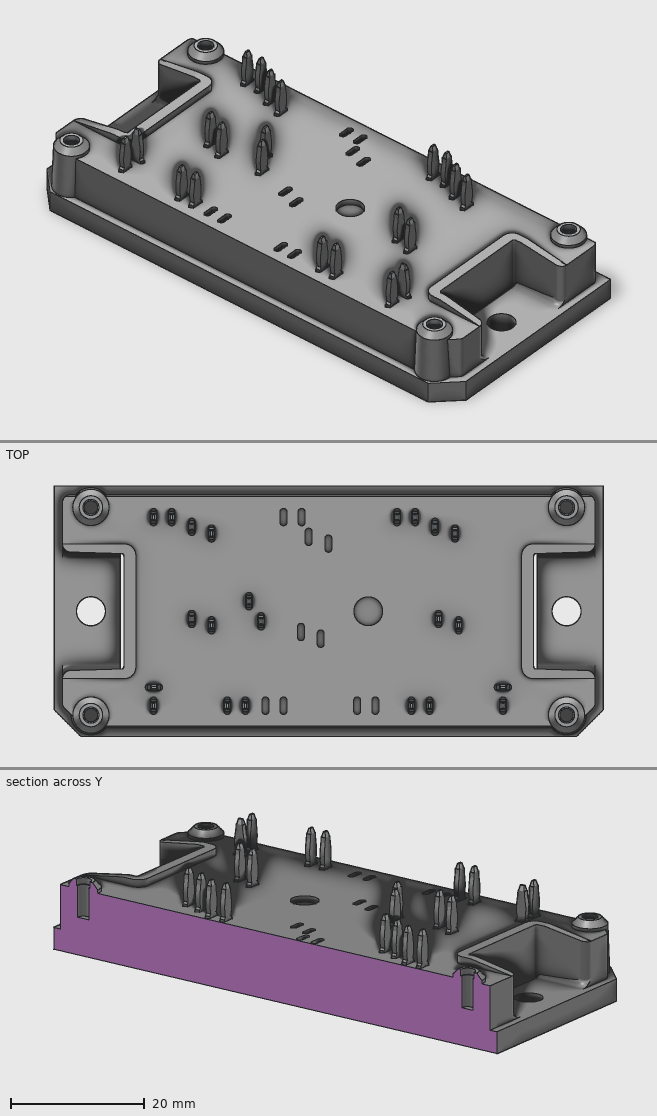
import cadquery as cq
import math

COS_45 = math.cos(math.radians(45))

LENGTH = 82.0
WIDTH = 37.4
BASE_TOP = 3.5
BASE_CHAMFER = 4.0
MOUNT_HOLE_DIAMETER = 4.3
MOUNT_HOLE_X = 35.5

BODY_HALF_LENGTH = 39.75
BODY_TOP = 10.5
BODY_HALF_WIDTH_BOTTOM = 17.4
BODY_HALF_WIDTH_TOP = 17.1
BODY_CHAMFER = 3.25
BODY_CORNER_RADIUS = 1.2
CHAMFER_BLEND_RADIUS = 1.0
CENTER_RECESS_X = 5.9
CENTER_RECESS_DIAMETER = 4.3
CENTER_RECESS_DEPTH = 1.0

POCKET_BACK_X = 30.6
POCKET_HALF_WIDTH = 8.85
POCKET_BACK_HALF_WIDTH = 8.6
POCKET_CORNER_RADIUS = 0.4
RIM_TOP = 11.7
RIM_SIDE_THICKNESS = 1.2
RIM_BACK_THICKNESS = 1.8
RIM_CORNER_RADIUS = 1.7
RIM_SLOPE_START_X = 32.1
RIM_SLOPE_BLEND_RADIUS = 4.0
FOOT_FILLET_RADIUS = 1.1
SLIT_WIDTH = 0.5

BOSS_X = 35.5
BOSS_Y = 15.5
BOSS_BOTTOM_RADIUS = 2.97
BOSS_SHOULDER_RADIUS = 2.7
BOSS_TOP_RADIUS = 1.75
BOSS_SHOULDER_Z = 11.0
BOSS_TOP = 12.0
BOSS_HOLE_DIAMETER = 2.4
BOSS_HOLE_DEPTH = 1.0
BOSS_PILOT_DIAMETER = 2.0
BOSS_PILOT_DEPTH = 6.0

SLOT_LENGTH = 2.6
SLOT_WIDTH = 1.05
SLOT_DEPTH = 1.0
PIN_TOP = 16.23
PIN_THICKNESS = 0.8
PIN_COLLAR_WIDTH = 1.9
PIN_COLLAR_TOP = 10.75
PIN_NECK_WIDTH = 1.4
PIN_NECK_Z = 11.1
PIN_BULGE_WIDTH = 1.75
PIN_BULGE_Z = 12.6
PIN_STEM_BOTTOM_WIDTH = 1.45
PIN_STEM_BOTTOM_Z = 14.1
PIN_STEM_TOP_WIDTH = 1.3
PIN_STEM_TOP_Z = 14.6
PIN_SHOULDER_WIDTH = 1.2
PIN_SHOULDER_Z = 15.4
PIN_TIP_BASE_WIDTH = 1.0
PIN_TIP_WIDTH = 0.7
PIN_TIP_THICKNESS = 0.3

BACK_ROW_Y = 14.05
FRONT_ROW_Y = -14.1
CROSS_PIN_Y = -11.35
PINS_ALONG_Y = [
    (-26.15, BACK_ROW_Y), (-23.45, BACK_ROW_Y), (-20.45, 12.6), (-17.5, 11.6),
    (10.2, BACK_ROW_Y), (12.9, BACK_ROW_Y), (15.85, 12.6), (18.85, 11.6),
    (-20.45, -1.15), (-17.5, -2.1), (-11.9, 1.5), (-10.1, -1.5), (16.4, -1.15), (19.4, -2.1),
    (-26.15, FRONT_ROW_Y), (-15.15, FRONT_ROW_Y), (-12.45, FRONT_ROW_Y),
    (12.35, FRONT_ROW_Y), (15.05, FRONT_ROW_Y), (26.0, FRONT_ROW_Y),
]
PINS_ALONG_X = [(-26.1, CROSS_PIN_Y), (26.0, CROSS_PIN_Y)]
EMPTY_SLOTS = [
    (-6.75, BACK_ROW_Y), (-4.05, BACK_ROW_Y), (-3.0, 11.1), (-0.05, 10.1),
    (-4.15, -3.1), (-1.2, -4.1),
    (-9.45, FRONT_ROW_Y), (-6.75, FRONT_ROW_Y), (4.25, FRONT_ROW_Y), (6.95, FRONT_ROW_Y),
]


def both_ends(shape):
    """The -X end shape joined with its mirror image at the +X end."""
    return shape.union(shape.mirror("YZ"))


def make_baseplate():
    plate = cq.Workplane("XY").box(LENGTH, WIDTH, BASE_TOP, centered=(True, True, False))
    plate = plate.edges("|Z and <Y").chamfer(BASE_CHAMFER)
    mount_points = [(-MOUNT_HOLE_X, 0), (MOUNT_HOLE_X, 0)]
    return plate.faces(">Z").workplane(origin=(0, 0, 0)).pushPoints(mount_points).hole(MOUNT_HOLE_DIAMETER)


def make_body():
    """Housing block: sloped long sides, rounded back corners and bevelled front corners."""
    height = BODY_TOP - BASE_TOP
    plan = (
        cq.Workplane("XY", origin=(0, 0, BASE_TOP))
        .rect(2 * BODY_HALF_LENGTH, 2 * BODY_HALF_WIDTH_BOTTOM)
        .extrude(height)
        .edges("|Z and >Y").fillet(BODY_CORNER_RADIUS)
        .edges("|Z and <Y").chamfer(BODY_CHAMFER)
    )
    for end in ("<X", ">X"):
        plan = plan.faces(end).edges("|Z and <Y").fillet(CHAMFER_BLEND_RADIUS)
    cross_section = (
        cq.Workplane("YZ", origin=(-BODY_HALF_LENGTH, 0, 0))
        .moveTo(-BODY_HALF_WIDTH_BOTTOM, BASE_TOP)
        .lineTo(BODY_HALF_WIDTH_BOTTOM, BASE_TOP)
        .lineTo(BODY_HALF_WIDTH_TOP, BODY_TOP)
        .lineTo(-BODY_HALF_WIDTH_TOP, BODY_TOP)
        .close()
        .extrude(2 * BODY_HALF_LENGTH)
    )
    return plan.intersect(cross_section)


def make_rim():
    """Raised border of the -X pocket, level at the back and sloping down to the pocket mouth."""
    half_width = POCKET_HALF_WIDTH + RIM_SIDE_THICKNESS
    back_x = -POCKET_BACK_X + RIM_BACK_THICKNESS
    rim = (
        cq.Workplane("XZ", origin=(0, half_width, 0))
        .moveTo(-BODY_HALF_LENGTH, BASE_TOP)
        .lineTo(-BODY_HALF_LENGTH, BODY_TOP)
        .lineTo(-RIM_SLOPE_START_X, RIM_TOP)
        .lineTo(back_x, RIM_TOP)
        .lineTo(back_x, BASE_TOP)
        .close()
        .extrude(2 * half_width)
    )
    slope_start = cq.selectors.NearestToPointSelector((-RIM_SLOPE_START_X, 0, RIM_TOP))
    rim = rim.edges("|Y").edges(slope_start).fillet(RIM_SLOPE_BLEND_RADIUS)
    return rim.edges("|Z and >X").fillet(RIM_CORNER_RADIUS)


def make_pocket():
    """Cutter for the -X pocket: slightly narrower at the back, with a quarter round at each mouth side."""
    flare = RIM_SIDE_THICKNESS
    arc_start_x = -BODY_HALF_LENGTH + flare
    outside_x = -LENGTH / 2
    mouth_half_width = POCKET_HALF_WIDTH + flare
    chord_offset = flare * COS_45
    arc_mid_x = arc_start_x - chord_offset
    arc_mid_y = mouth_half_width - chord_offset
    return (
        cq.Workplane("XY", origin=(0, 0, BASE_TOP))
        .moveTo(-POCKET_BACK_X, -POCKET_BACK_HALF_WIDTH)
        .lineTo(-POCKET_BACK_X, POCKET_BACK_HALF_WIDTH)
        .lineTo(arc_start_x, POCKET_HALF_WIDTH)
        .threePointArc((arc_mid_x, arc_mid_y), (-BODY_HALF_LENGTH, mouth_half_width))
        .lineTo(outside_x, mouth_half_width)
        .lineTo(outside_x, -mouth_half_width)
        .lineTo(-BODY_HALF_LENGTH, -mouth_half_width)
        .threePointArc((arc_mid_x, -arc_mid_y), (arc_start_x, -POCKET_HALF_WIDTH))
        .close()
        .extrude(RIM_TOP - BASE_TOP)
        .edges("|Z and >X").fillet(POCKET_CORNER_RADIUS)
    )


def make_foot_fillet():
    """Concave fillet under the +Y side wall of the -X pocket, turning with the rounded mouth."""
    flare = RIM_SIDE_THICKNESS
    corner_x = -BODY_HALF_LENGTH + flare
    corner_y = POCKET_HALF_WIDTH + flare
    wall_y = -flare
    toe_y = wall_y - FOOT_FILLET_RADIUS
    fillet_top = FOOT_FILLET_RADIUS
    bulge = FOOT_FILLET_RADIUS * (1 - COS_45)

    def section():
        return (
            cq.Workplane("YZ", origin=(corner_x, corner_y, BASE_TOP))
            .moveTo(0, 0)
            .lineTo(toe_y, 0)
            .threePointArc((wall_y - bulge, bulge), (wall_y, fillet_top))
            .lineTo(0, fillet_top)
            .close()
        )

    straight_length = -POCKET_BACK_X - SLIT_WIDTH - corner_x
    straight = section().extrude(straight_length)
    turned = section().revolve(360, (0, 0, 0), (0, 1, 0))
    clip = cq.Workplane("XY", origin=(-BODY_HALF_LENGTH, 0, BASE_TOP)).box(
        flare, corner_y, fillet_top, centered=False
    )
    return straight.union(turned.intersect(clip))


def make_slit():
    """Cutter for the narrow gap through the baseplate along the back of the -X pocket."""
    return cq.Workplane("XY", origin=(-POCKET_BACK_X - SLIT_WIDTH, -POCKET_BACK_HALF_WIDTH, 0)).box(
        SLIT_WIDTH, 2 * POCKET_BACK_HALF_WIDTH, BASE_TOP, centered=False
    )


def make_boss(x, y):
    """Slightly tapered corner post with a conical top and a stepped screw hole."""
    hole_floor = BOSS_TOP - BOSS_HOLE_DEPTH
    pilot_floor = BOSS_TOP - BOSS_PILOT_DEPTH
    return (
        cq.Workplane("XZ")
        .moveTo(0, BASE_TOP)
        .lineTo(BOSS_BOTTOM_RADIUS, BASE_TOP)
        .lineTo(BOSS_SHOULDER_RADIUS, BOSS_SHOULDER_Z)
        .lineTo(BOSS_TOP_RADIUS, BOSS_TOP)
        .lineTo(BOSS_HOLE_DIAMETER / 2, BOSS_TOP)
        .lineTo(BOSS_HOLE_DIAMETER / 2, hole_floor)
        .lineTo(BOSS_PILOT_DIAMETER / 2, hole_floor)
        .lineTo(BOSS_PILOT_DIAMETER / 2, pilot_floor)
        .lineTo(0, pilot_floor)
        .close()
        .revolve(360, (0, 0, 0), (0, 1, 0))
        .translate((x, y, 0))
    )


def make_boss_seat(x, y):
    """Cutter that clears the housing inside a boss so that its hole stays open."""
    return (
        cq.Workplane("XY", origin=(x, y, BASE_TOP))
        .circle(BOSS_SHOULDER_RADIUS)
        .extrude(BODY_TOP - BASE_TOP)
    )


def make_slots(points, angle):
    return (
        cq.Workplane("XY", origin=(0, 0, BODY_TOP - SLOT_DEPTH))
        .pushPoints(points)
        .slot2D(SLOT_LENGTH, SLOT_WIDTH, angle)
        .extrude(SLOT_DEPTH)
    )


def make_pin():
    """Flat press-fit pin at the origin, its wide side along X."""
    floor_z = BODY_TOP - SLOT_DEPTH
    blade = (
        cq.Workplane("XZ", origin=(0, PIN_THICKNESS / 2, 0))
        .moveTo(-PIN_COLLAR_WIDTH / 2, floor_z)
        .lineTo(-PIN_COLLAR_WIDTH / 2, PIN_COLLAR_TOP)
        .lineTo(-PIN_NECK_WIDTH / 2, PIN_NECK_Z)
        .threePointArc((-PIN_BULGE_WIDTH / 2, PIN_BULGE_Z), (-PIN_STEM_BOTTOM_WIDTH / 2, PIN_STEM_BOTTOM_Z))
        .lineTo(-PIN_STEM_TOP_WIDTH / 2, PIN_STEM_TOP_Z)
        .lineTo(-PIN_SHOULDER_WIDTH / 2, PIN_SHOULDER_Z)
        .lineTo(PIN_SHOULDER_WIDTH / 2, PIN_SHOULDER_Z)
        .lineTo(PIN_STEM_TOP_WIDTH / 2, PIN_STEM_TOP_Z)
        .lineTo(PIN_STEM_BOTTOM_WIDTH / 2, PIN_STEM_BOTTOM_Z)
        .threePointArc((PIN_BULGE_WIDTH / 2, PIN_BULGE_Z), (PIN_NECK_WIDTH / 2, PIN_NECK_Z))
        .lineTo(PIN_COLLAR_WIDTH / 2, PIN_COLLAR_TOP)
        .lineTo(PIN_COLLAR_WIDTH / 2, floor_z)
        .close()
        .extrude(PIN_THICKNESS)
    )
    tip = (
        cq.Workplane("XY", origin=(0, 0, PIN_SHOULDER_Z))
        .rect(PIN_TIP_BASE_WIDTH, PIN_THICKNESS)
        .workplane(offset=PIN_TOP - PIN_SHOULDER_Z)
        .rect(PIN_TIP_WIDTH, PIN_TIP_THICKNESS)
        .loft(ruled=True)
    )
    return blade.union(tip)


foot_fillet = make_foot_fillet()
body = make_body().union(both_ends(make_rim())).cut(both_ends(make_pocket()))
body = body.union(both_ends(foot_fillet.union(foot_fillet.mirror("XZ"))))
result = make_baseplate().union(body).cut(both_ends(make_slit()))

for boss_x in (-BOSS_X, BOSS_X):
    for boss_y in (-BOSS_Y, BOSS_Y):
        result = result.cut(make_boss_seat(boss_x, boss_y)).union(make_boss(boss_x, boss_y))

center_recess = (
    cq.Workplane("XY", origin=(CENTER_RECESS_X, 0, BODY_TOP - CENTER_RECESS_DEPTH))
    .circle(CENTER_RECESS_DIAMETER / 2)
    .extrude(CENTER_RECESS_DEPTH)
)
result = result.cut(center_recess)
result = result.cut(make_slots(PINS_ALONG_Y + EMPTY_SLOTS, 90)).cut(make_slots(PINS_ALONG_X, 0))

pin_along_x = make_pin()
pin_along_y = pin_along_x.rotate((0, 0, 0), (0, 0, 1), 90)
for pin_x, pin_y in PINS_ALONG_X:
    result = result.union(pin_along_x.translate((pin_x, pin_y, 0)))
for pin_x, pin_y in PINS_ALONG_Y:
    result = result.union(pin_along_y.translate((pin_x, pin_y, 0)))